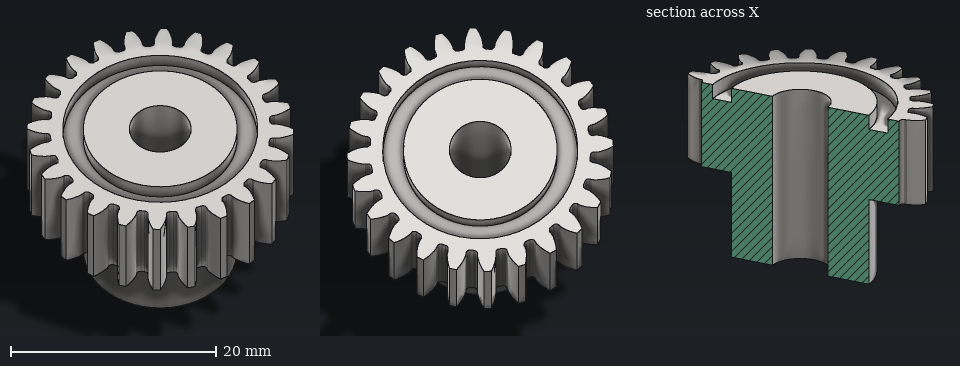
import cadquery as cq
import math

outer_size = 25.85
tooth_count = 24
pressure_angle = math.radians(20)
face_width = 9.0
hub_extension = 9.0
hub_diameter = 15.0
bore_diameter = 6.0
recess_diameter = 19.0
recess_depth = 1.5

addendum_ratio = 1.0
dedendum_ratio = 1.25
root_fillet_ratio = 0.38
flank_points = 6


def involute(angle):
    """Polar angle swept by an involute at the given pressure angle."""
    return math.tan(angle) - angle


tooth_pitch = 2 * math.pi / tooth_count
base_half_gap = tooth_pitch / 4 - involute(pressure_angle)
base_to_tip_ratio = tooth_count * math.cos(pressure_angle) / (tooth_count + 2 * addendum_ratio)
tip_half_gap = base_half_gap + involute(math.acos(base_to_tip_ratio))

tip_radius = outer_size / 2 / math.cos(tip_half_gap)
module = tip_radius / (tooth_count / 2 + addendum_ratio)
pitch_radius = module * tooth_count / 2
base_radius = pitch_radius * math.cos(pressure_angle)
root_radius = pitch_radius - dedendum_ratio * module
root_fillet = root_fillet_ratio * module
total_height = hub_extension + face_width


def polar(radius, angle):
    return (radius * math.cos(angle), radius * math.sin(angle))


def flank(gap_angle, side):
    """Involute points from base circle to tip, on one side (+1 or -1) of a gap."""
    points = []
    for i in range(flank_points):
        radius = base_radius + (tip_radius - base_radius) * i / (flank_points - 1)
        half_gap = base_half_gap + involute(math.acos(base_radius / radius))
        points.append(polar(radius, gap_angle + side * half_gap))
    return points


def root_corner(gap_angle, side):
    """Start, middle and end of the fillet from the radial flank to the root circle."""
    centre_radius = root_radius + root_fillet
    centre_angle = gap_angle + side * (base_half_gap - math.asin(root_fillet / centre_radius))
    flank_angle = gap_angle + side * base_half_gap
    flank_end = polar(math.sqrt(centre_radius**2 - root_fillet**2), flank_angle)
    root_end = polar(root_radius, centre_angle)

    to_flank = flank_angle + side * math.pi / 2
    to_root = centre_angle + side * math.pi
    to_middle = (to_flank + to_root) / 2
    centre = polar(centre_radius, centre_angle)
    offset = polar(root_fillet, to_middle)
    return flank_end, (centre[0] + offset[0], centre[1] + offset[1]), root_end


def toothed_rim():
    outline = cq.Workplane("XY").workplane(offset=hub_extension)
    outline = outline.moveTo(*polar(tip_radius, -tip_half_gap))
    for i in range(tooth_count):
        gap_angle = i * tooth_pitch
        falling_flank = flank(gap_angle, -1)[::-1]
        rising_flank = flank(gap_angle, 1)
        first_fillet = root_corner(gap_angle, -1)
        second_fillet = root_corner(gap_angle, 1)[::-1]
        tip_middle = polar(tip_radius, gap_angle + tooth_pitch / 2)
        next_tooth = polar(tip_radius, gap_angle + tooth_pitch - tip_half_gap)
        outline = (
            outline.spline(falling_flank[1:], includeCurrent=True)
            .lineTo(*first_fillet[0])
            .threePointArc(*first_fillet[1:])
            .threePointArc(polar(root_radius, gap_angle), second_fillet[0])
            .threePointArc(*second_fillet[1:])
            .lineTo(*rising_flank[0])
            .spline(rising_flank[1:], includeCurrent=True)
            .threePointArc(tip_middle, next_tooth)
        )
    return outline.close().extrude(face_width)


def cylinder(diameter, bottom, top):
    return cq.Workplane("XY").workplane(offset=bottom).circle(diameter / 2).extrude(top - bottom)


recess = cylinder(recess_diameter, total_height - recess_depth, total_height)
hub = cylinder(hub_diameter, 0, total_height)
bore = cylinder(bore_diameter, 0, total_height)

result = toothed_rim().cut(recess).union(hub).cut(bore)